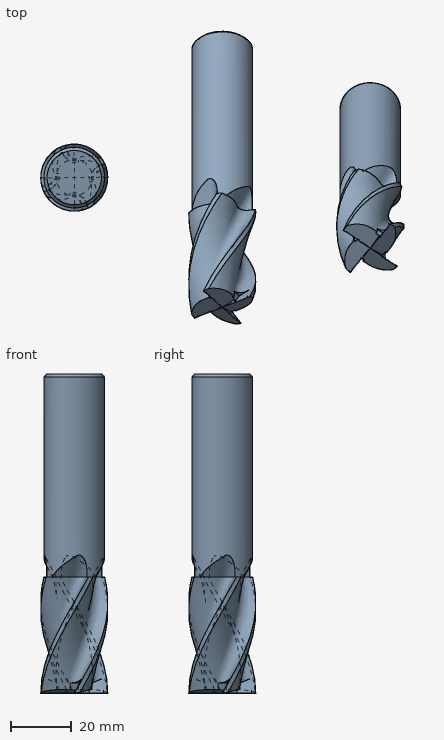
import cadquery as cq
import math


TOTAL_LENGTH = 105.0
CUTTER_RADIUS = 11.0
CUTTER_LENGTH = 38.2
SHANK_RADIUS = 10.0
SHANK_CHAMFER = 1.0

TOOTH_COUNT = 4
TOOTH_PITCH = 360.0 / TOOTH_COUNT
HELIX_ANGLE = 30.0
HELIX_LEAD = 2 * math.pi * CUTTER_RADIUS / math.tan(math.radians(HELIX_ANGLE))
TWIST = 360.0 * CUTTER_LENGTH / HELIX_LEAD

LAND_ANGLE = 9.0
RELIEF_END_RADIUS = 6.3
RELIEF_END_ANGLE = 60.0
RELIEF_BULGE = 0.9
RAKE_ROOT_RADIUS = 8.5
RAKE_ROOT_ANGLE = 1.0
FLUTE_SAG = 0.9

END_RELIEF_ANGLE = 13.0
GASH_HEIGHT = 5.0
GASH_TIP_WIDTH = 1.5
GASH_TOP_WIDTH = 3.8
GASH_INSET = 0.1
GASH_LEAN = 2.5
GASH_INNER_RADIUS = 4.7
GASH_KNEE_RADIUS = 5.7
GASH_KNEE_HEIGHT = 3.4
GASH_OUTER_RADIUS = 9.7
GASH_OUTER_HEIGHT = 5.0

RUNOUT_RISE = 6.8
RUNOUT_TANGENTIAL = 1.2
RUNOUT_RADIAL = 3.7

CLEARANCE = 12.6


def polar(radius, angle):
    """Point in the XY plane from a radius and an angle in degrees."""
    return cq.Vector(radius * math.cos(math.radians(angle)), radius * math.sin(math.radians(angle)))


def bulged_arc(start, end, sag):
    """Arc from start to end whose middle stands off to the left of the chord by sag."""
    chord = (end - start).normalized()
    middle = (start + end) * 0.5 + cq.Vector(-chord.y, chord.x) * sag
    return cq.Edge.makeThreePointArc(start, middle, end)


def tooth_back_edges(edge_angle):
    """Relief, flute floor and rake face from one land to the next cutting edge."""
    next_edge = edge_angle + TOOTH_PITCH
    land_end = polar(CUTTER_RADIUS, edge_angle + LAND_ANGLE)
    relief_end = polar(RELIEF_END_RADIUS, edge_angle + RELIEF_END_ANGLE)
    rake_root = polar(RAKE_ROOT_RADIUS, next_edge + RAKE_ROOT_ANGLE)
    return [
        bulged_arc(land_end, relief_end, -RELIEF_BULGE),
        bulged_arc(relief_end, rake_root, FLUTE_SAG),
        cq.Edge.makeLine(rake_root, polar(CUTTER_RADIUS, next_edge)),
    ]


def cutter_section():
    """Closed outline of all the teeth at the tip."""
    edges = []
    for tooth in range(TOOTH_COUNT):
        edge_angle = tooth * TOOTH_PITCH
        land = cq.Edge.makeThreePointArc(
            polar(CUTTER_RADIUS, edge_angle),
            polar(CUTTER_RADIUS, edge_angle + LAND_ANGLE / 2),
            polar(CUTTER_RADIUS, edge_angle + LAND_ANGLE),
        )
        edges += [land] + tooth_back_edges(edge_angle)
    return cq.Wire.assembleEdges(edges)


def gash_tool():
    """Notch ahead of the end tooth whose cutting edge points along -Y."""
    across = (
        cq.Workplane("XZ")
        .polyline([
            (GASH_INSET, 0),
            (GASH_LEAN, GASH_HEIGHT),
            (GASH_LEAN - GASH_TOP_WIDTH, GASH_HEIGHT),
            (-GASH_TIP_WIDTH, 0),
        ])
        .close()
        .extrude(CUTTER_RADIUS + CLEARANCE)
    )
    along = (
        cq.Workplane("YZ")
        .polyline([
            (-GASH_INNER_RADIUS, 0),
            (-GASH_KNEE_RADIUS, GASH_KNEE_HEIGHT),
            (-GASH_OUTER_RADIUS, GASH_OUTER_HEIGHT),
            (-GASH_OUTER_RADIUS, 0),
        ])
        .close()
        .extrude(CLEARANCE, both=True)
    )
    return across.intersect(along)


def end_relief_tool():
    """Wedge that rises behind the cutting edge along +X, over the quadrant of that tooth."""
    rise = CLEARANCE * math.tan(math.radians(END_RELIEF_ANGLE))
    return (
        cq.Workplane("YZ")
        .polyline([(0, 0), (CLEARANCE, 0), (CLEARANCE, rise)])
        .close()
        .extrude(CLEARANCE)
    )


def make_cutter():
    cutter = cq.Workplane("XY").add(cutter_section()).toPending().twistExtrude(CUTTER_LENGTH, TWIST)
    for tooth in range(TOOTH_COUNT):
        for tool in (end_relief_tool(), gash_tool()):
            cutter = cutter.cut(tool.rotate((0, 0, 0), (0, 0, 1), tooth * TOOTH_PITCH))
    return cutter


def flute_runout_tool():
    """Flute space at the top of the cutter, swept up and outward until it leaves the shank.

    The flute is built for the tooth pointing along -X at the tip, so it opens toward -Y once twisted.
    """
    edge_angle = 180.0
    back = tooth_back_edges(edge_angle)
    outer_radius = 2 * CUTTER_RADIUS
    outside = [
        polar(CUTTER_RADIUS, edge_angle + TOOTH_PITCH),
        polar(outer_radius, edge_angle + TOOTH_PITCH),
        polar(outer_radius, edge_angle + TOOTH_PITCH / 2),
        polar(CUTTER_RADIUS, edge_angle + LAND_ANGLE),
    ]
    closing = [cq.Edge.makeLine(start, end) for start, end in zip(outside, outside[1:])]
    section = cq.Wire.assembleEdges(back + closing)
    section = section.rotate(cq.Vector(), cq.Vector(0, 0, 1), TWIST - TOOTH_PITCH)
    section = section.translate(cq.Vector(0, 0, CUTTER_LENGTH))
    slide = cq.Vector(RUNOUT_TANGENTIAL, -RUNOUT_RADIAL, RUNOUT_RISE) * 2
    return cq.Workplane(cq.Solid.extrudeLinear(section, [], slide))


def make_shank():
    shank = (
        cq.Workplane("XY", origin=(0, 0, CUTTER_LENGTH))
        .circle(SHANK_RADIUS)
        .extrude(TOTAL_LENGTH - CUTTER_LENGTH)
        .faces(">Z")
        .chamfer(SHANK_CHAMFER)
    )
    runout = flute_runout_tool()
    for flute in range(TOOTH_COUNT):
        shank = shank.cut(runout.rotate((0, 0, 0), (0, 0, 1), flute * TOOTH_PITCH))
    return shank


cutter = make_cutter()
shank = make_shank()

result = cq.Compound.makeCompound([cutter.val(), shank.val()])